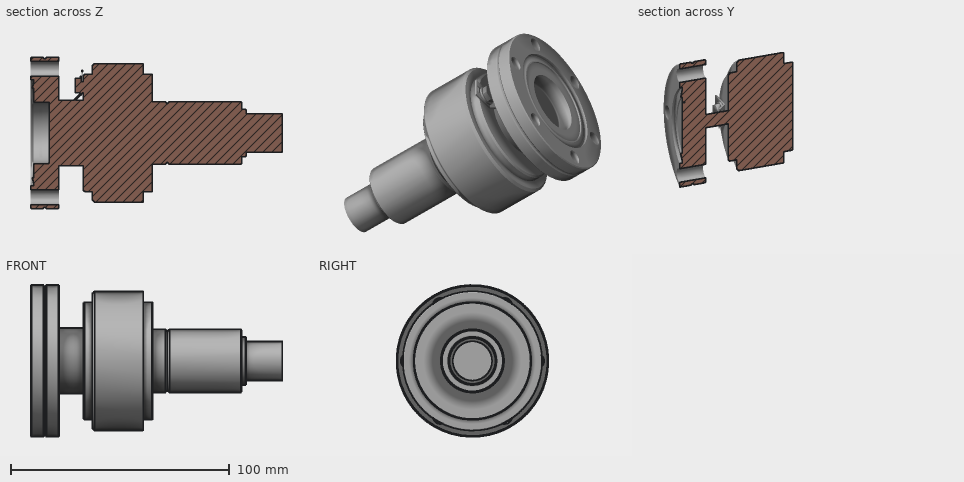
import cadquery as cq
import math

total_length = 115.0

flange_radius = 34.7
flange_thickness = 6.2
flange_gap = 0.6
flange_gap_depth = 0.6
flange_edge = 0.5
flange_pair_end = 2 * flange_thickness + flange_gap

bolt_count = 6
bolt_circle_radius = 29.3
bolt_hole_diameter = 6.7

recess_radius = 24.2
recess_depth = 1.4
knife_foot_radius = 23.3
knife_outer_radius = 20.9
knife_inner_radius = 20.4
knife_tip_depth = 0.7
bore_radius = 14.0
bore_depth = 8.4
bore_corner = 0.6

neck_radius = 15.1
collar_radius = 26.9
collar_start = 23.9
collar_end = 55.8
collar_start_edge = 0.8
collar_end_edge = 0.3
body_radius = 31.9
body_start = 28.1
body_end = 51.5
body_chamfer = 1.2
body_round = 0.7

shaft_radius = 14.5
shaft_end = 96.5
shaft_edge = 0.6
groove_centre = 62.5
groove_depth = 1.0
shoulder_radius = 11.0
shoulder_end = 98.5
shoulder_edge = 0.6
journal_radius = 9.0

plate_thickness = 0.7
plate_half_width = 5.0
plate_top = 28.9
plate_bend = 18.4
leg_tip = 14.4
slot_half_width = 2.0
slot_top = 27.8
screw_y = 21.6
washer_radius = 4.5
washer_thickness = 0.8
head_across_flats = 6.9
head_height = 2.1


def turned(x_start, x_end, radius, start_edge=0.0, end_edge=0.0):
    """Cylinder along X with optional chamfers at its two ends."""
    disc = cq.Workplane("YZ", origin=(x_start, 0, 0)).circle(radius).extrude(x_end - x_start)
    if start_edge:
        disc = disc.faces("<X").chamfer(start_edge)
    if end_edge:
        disc = disc.faces(">X").chamfer(end_edge)
    return disc


def make_flanges():
    second_start = flange_thickness + flange_gap
    first = turned(0, flange_thickness, flange_radius, flange_edge, flange_gap_depth)
    second = turned(second_start, flange_pair_end, flange_radius, flange_gap_depth, flange_edge)
    spacer = turned(flange_thickness, second_start, flange_radius - flange_gap_depth)
    bolt_holes = (
        cq.Workplane("YZ")
        .polarArray(bolt_circle_radius, 0, 360, bolt_count)
        .circle(bolt_hole_diameter / 2)
        .extrude(flange_pair_end)
    )
    return first.union(spacer).union(second).cut(bolt_holes)


def make_recess():
    """Ring of the recess up to the knife edge, the flat inside it and the bore."""
    profile = [
        (0, 0),
        (0, recess_radius),
        (recess_depth, recess_radius),
        (recess_depth, knife_foot_radius),
        (knife_tip_depth, knife_outer_radius),
        (knife_tip_depth, knife_inner_radius),
        (recess_depth, knife_inner_radius),
        (recess_depth, bore_radius),
        (bore_depth, bore_radius),
        (bore_depth, 0),
    ]
    recess = cq.Workplane("XY").polyline(profile).close().revolve(360, (0, 0, 0), (1, 0, 0))
    return recess.faces(">X").edges().fillet(bore_corner)


def make_shaft():
    shaft = turned(collar_end, shaft_end, shaft_radius, 0, shaft_edge)
    groove_profile = [
        (groove_centre - groove_depth, shaft_radius),
        (groove_centre, shaft_radius - groove_depth),
        (groove_centre + groove_depth, shaft_radius),
    ]
    groove = cq.Workplane("XY").polyline(groove_profile).close().revolve(360, (0, 0, 0), (1, 0, 0))
    shoulder = turned(shaft_end, shoulder_end, shoulder_radius, 0, shoulder_edge)
    journal = turned(shoulder_end, total_length, journal_radius)
    return shaft.cut(groove).union(shoulder).union(journal)


def make_clip():
    """Slotted plate with a leg bent 45 degrees down to the neck."""
    plate_front = collar_start - plate_thickness
    leg_run = plate_bend - leg_tip
    bend_shift = plate_thickness * math.tan(math.radians(45 / 2))
    tip_step = plate_thickness * math.sin(math.radians(45))
    profile = [
        (collar_start, plate_top),
        (plate_front, plate_top),
        (plate_front, plate_bend + bend_shift),
        (collar_start - leg_run - tip_step, leg_tip + tip_step),
        (collar_start - leg_run, leg_tip),
        (collar_start, plate_bend),
    ]
    plate = cq.Workplane("XY").polyline(profile).close().extrude(plate_half_width, both=True)
    slot_length = slot_top - screw_y
    slot = (
        cq.Workplane("XY")
        .box(plate_thickness, slot_length, 2 * slot_half_width, centered=(False, False, True))
        .translate((plate_front, screw_y, 0))
    )
    return plate.cut(slot)


def make_screw():
    washer_start = collar_start - plate_thickness - washer_thickness
    head_start = washer_start - head_height
    axis = cq.Workplane("YZ", origin=(washer_start, screw_y, 0))
    washer = axis.circle(washer_radius).extrude(washer_thickness)
    shank = axis.circle(slot_half_width).extrude(collar_start - washer_start)
    across_corners = head_across_flats / math.cos(math.radians(30))
    head = (
        cq.Workplane("YZ", origin=(head_start, 0, 0))
        .polygon(6, across_corners)
        .extrude(head_height)
        .rotate((0, 0, 0), (1, 0, 0), 90)
        .translate((0, screw_y, 0))
    )
    return washer.union(shank).union(head)


neck = turned(flange_pair_end, collar_start, neck_radius)
collar = turned(collar_start, collar_end, collar_radius, collar_start_edge, collar_end_edge)
body = turned(body_start, body_end, body_radius, body_chamfer)
body = body.faces(">X").edges().fillet(body_round)

result = (
    make_flanges()
    .cut(make_recess())
    .union(neck)
    .union(collar)
    .union(body)
    .union(make_shaft())
    .union(make_clip())
    .union(make_screw())
)